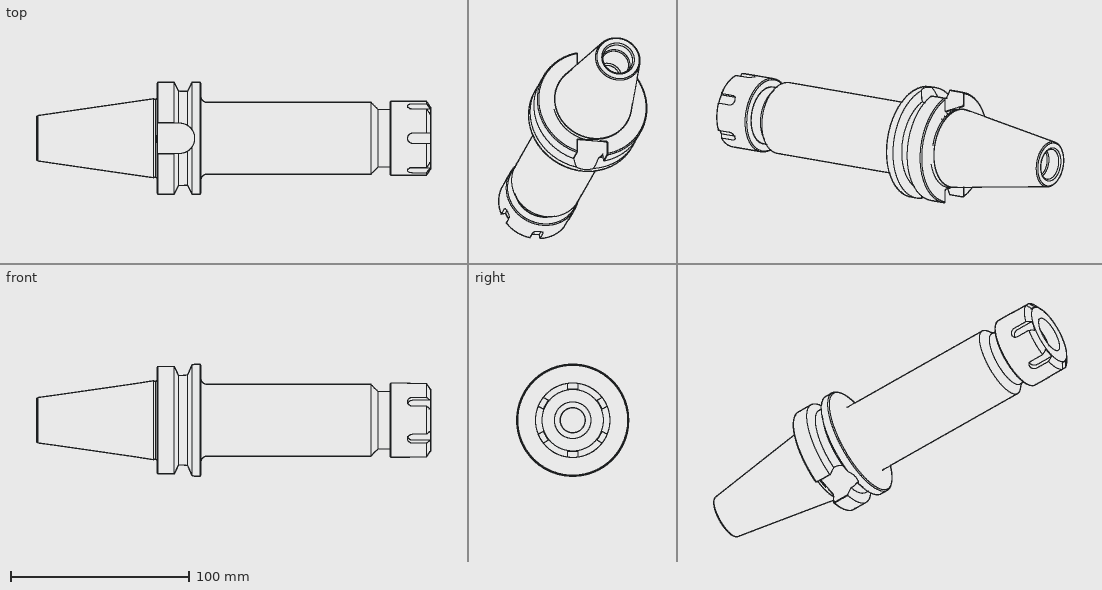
import cadquery as cq
import math

total_length = 220.8
flange_diameter = 63.0

shank_small_diameter = 25.6
shank_large_diameter = 44.5
shank_end_chamfer = 0.7
gauge_line_x = 65.4
relief_diameter = 44.0
relief_fillet = 0.7

flange_start_x = 67.4
flange_end_x = 92.0
flange_edge_chamfer = 0.7
groove_diameter = 53.0
groove_left_top_x = 77.0
groove_left_floor_x = 79.5
groove_right_floor_x = 84.5
groove_right_top_x = 87.0

drive_slot_width = 17.0
drive_slot_end_x = 88.5
drive_slot_floor_height = 22.5
drive_slot_floor_fillet = 0.7
drive_slot_rim_chamfer = 0.33

body_diameter = 40.5
body_fillet = 3.3
body_end_x = 187.3
neck_diameter = 32.5
nose_diameter = 32.0
nose_end_x = 214.2

through_diameter = 14.0
counterbore_diameter = 17.0
counterbore_depth = 7.7
pilot_diameter = 15.7
pilot_depth = 26.5
bore_mouth_diameter = 18.8

nut_diameter = 41.7
nut_start_x = 197.9
nut_rear_chamfer = 0.7
nut_front_chamfer_length = 2.5
nut_face_diameter = 34.5
nut_opening_diameter = 20.5

wrench_slot_count = 6
wrench_slot_width = 5.7
wrench_slot_start_x = 207.8
wrench_slot_floor_radius = 17.5


def make_holder_blank():
    """Outer turned profile of the holder, solid, revolved about X."""
    flange_radius = flange_diameter / 2
    body_radius = body_diameter / 2
    neck_radius = neck_diameter / 2
    neck_start_x = body_end_x + body_radius - neck_radius
    shank_radius = shank_small_diameter / 2
    relief_radius = relief_diameter / 2
    arc_midpoint = 1 - math.sqrt(0.5)
    relief_arc_offset = relief_fillet * arc_midpoint
    body_arc_offset = body_fillet * arc_midpoint
    profile = (
        cq.Workplane("XY")
        .moveTo(0, 0)
        .lineTo(0, shank_radius - shank_end_chamfer)
        .lineTo(shank_end_chamfer, shank_radius)
        .lineTo(gauge_line_x, shank_large_diameter / 2)
        .lineTo(gauge_line_x, relief_radius)
        .lineTo(flange_start_x - relief_fillet, relief_radius)
        .threePointArc(
            (flange_start_x - relief_arc_offset, relief_radius + relief_arc_offset),
            (flange_start_x, relief_radius + relief_fillet),
        )
        .lineTo(flange_start_x, flange_radius - flange_edge_chamfer)
        .lineTo(flange_start_x + flange_edge_chamfer, flange_radius)
        .lineTo(groove_left_top_x, flange_radius)
        .lineTo(groove_left_floor_x, groove_diameter / 2)
        .lineTo(groove_right_floor_x, groove_diameter / 2)
        .lineTo(groove_right_top_x, flange_radius)
        .lineTo(flange_end_x - flange_edge_chamfer, flange_radius)
        .lineTo(flange_end_x, flange_radius - flange_edge_chamfer)
        .lineTo(flange_end_x, body_radius + body_fillet)
        .threePointArc(
            (flange_end_x + body_arc_offset, body_radius + body_arc_offset),
            (flange_end_x + body_fillet, body_radius),
        )
        .lineTo(body_end_x, body_radius)
        .lineTo(neck_start_x, neck_radius)
        .lineTo(nut_start_x, neck_radius)
        .lineTo(nut_start_x, nose_diameter / 2)
        .lineTo(nose_end_x, nose_diameter / 2)
        .lineTo(nose_end_x, 0)
        .close()
    )
    return profile.revolve(360, (0, 0, 0), (1, 0, 0))


def make_holder_bore():
    """Stepped through bore, widening in cones towards a conical mouth at the shank end."""
    through_radius = through_diameter / 2
    pilot_radius = pilot_diameter / 2
    counterbore_radius = counterbore_diameter / 2
    mouth_radius = bore_mouth_diameter / 2
    profile = (
        cq.Workplane("XY")
        .moveTo(0, 0)
        .lineTo(0, mouth_radius)
        .lineTo(mouth_radius - counterbore_radius, counterbore_radius)
        .lineTo(counterbore_depth, counterbore_radius)
        .lineTo(counterbore_depth + counterbore_radius - pilot_radius, pilot_radius)
        .lineTo(pilot_depth, pilot_radius)
        .lineTo(pilot_depth + pilot_radius - through_radius, through_radius)
        .lineTo(nose_end_x, through_radius)
        .lineTo(nose_end_x, 0)
        .close()
    )
    return profile.revolve(360, (0, 0, 0), (1, 0, 0))


def make_slot(start_x, end_x, width, floor_height):
    """Slot cutter along X, open towards +Z, with rounded ends."""
    length = end_x - start_x
    return (
        cq.Workplane("XY", origin=((start_x + end_x) / 2, 0, floor_height))
        .slot2D(length, width)
        .extrude(flange_diameter / 2)
    )


def chamfer_drive_slot_rims(holder):
    """Chamfer the slot walls along the shank-side half of the flange."""
    wall_y = drive_slot_width / 2
    lowest_z = drive_slot_floor_height + 2 * drive_slot_floor_fillet
    tolerance = 0.02
    rim_edges = []
    for edge in holder.edges().vals():
        center = edge.Center()
        on_wall = abs(abs(center.y) - wall_y) < tolerance
        on_shank_side = center.x < groove_left_top_x
        if on_wall and on_shank_side and abs(center.z) > lowest_z:
            rim_edges.append(edge)
    return holder.newObject(rim_edges).chamfer(drive_slot_rim_chamfer)


def make_holder():
    holder = make_holder_blank().cut(make_holder_bore())
    drive_slot = make_slot(
        flange_start_x - drive_slot_width,
        drive_slot_end_x,
        drive_slot_width,
        drive_slot_floor_height,
    )
    drive_slot = drive_slot.faces("<Z").edges().fillet(drive_slot_floor_fillet)
    for angle in (0, 180):
        holder = holder.cut(drive_slot.rotate((0, 0, 0), (1, 0, 0), angle))
    return chamfer_drive_slot_rims(holder)


def make_nut():
    nut_radius = nut_diameter / 2
    opening_radius = nut_opening_diameter / 2
    nut = (
        cq.Workplane("XY")
        .moveTo(nut_start_x, nose_diameter / 2)
        .lineTo(nut_start_x, nut_radius - nut_rear_chamfer)
        .lineTo(nut_start_x + nut_rear_chamfer, nut_radius)
        .lineTo(total_length - nut_front_chamfer_length, nut_radius)
        .lineTo(total_length, nut_face_diameter / 2)
        .lineTo(total_length, opening_radius)
        .lineTo(nose_end_x, opening_radius)
        .lineTo(nose_end_x, nose_diameter / 2)
        .close()
        .revolve(360, (0, 0, 0), (1, 0, 0))
    )
    wrench_slot = make_slot(
        wrench_slot_start_x,
        total_length + wrench_slot_width,
        wrench_slot_width,
        wrench_slot_floor_radius,
    )
    for index in range(wrench_slot_count):
        angle = index * 360 / wrench_slot_count
        nut = nut.cut(wrench_slot.rotate((0, 0, 0), (1, 0, 0), angle))
    return nut


holder = make_holder()
nut = make_nut()

result = cq.Compound.makeCompound([holder.val(), nut.val()])